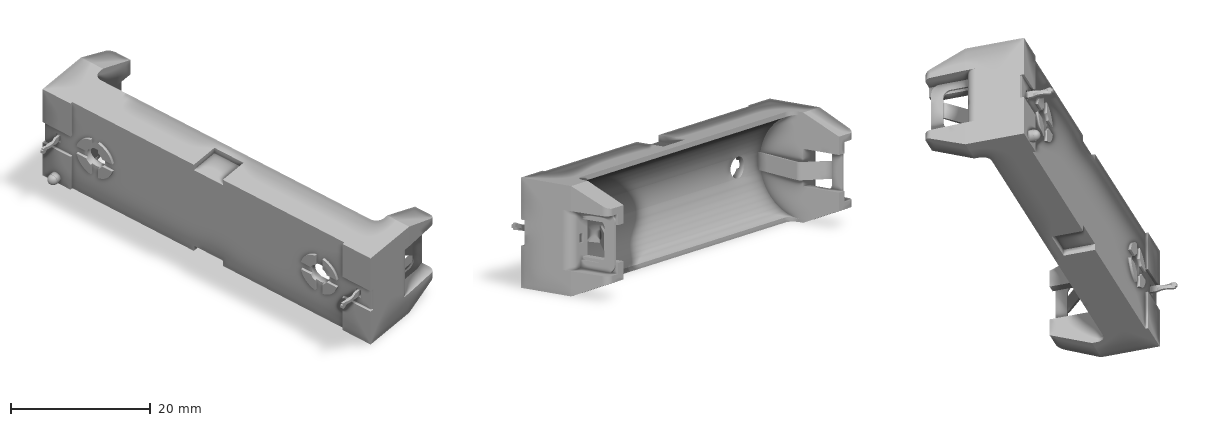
import cadquery as cq
import math

LENGTH = 59.94
WIDTH = 16.26
HEIGHT = 15.3
OVERALL_HEIGHT = 18.8
END_X = LENGTH / 2

RAIL_TOP = 6.73
WALL_THICKNESS = 4.0
WALL_FOOT_RADIUS = 1.4
SHOULDER_Y = 8.9
WALL_TOP_WIDTH = 10.95
END_DRAFT = 0.3
LUG_CORNER_RADIUS = 1.1
TROUGH_RADIUS = 7.7

PAD_HEIGHT = 0.42
PAD_LENGTH = 5.13
NOTCH_WIDTH = 3.85
NOTCH_END_DEPTH = 0.22
NOTCH_END_HEIGHT = 0.62

RECESS_WIDTH = 8.85
RECESS_DEPTH = 2.4
LEDGE_RADIUS = 1.5
POCKET_WIDTH = 5.55
PLATE_THICKNESS = 0.3
PLATE_TOP = 14.88
PLATE_CORNER_RADIUS = 1.3
WINDOW_WIDTH = 6.4
WINDOW_TOP = 13.1
WINDOW_CORNER_RADIUS = 1.2

GRIP_LENGTH = 5.3
GRIP_TOP = 5.18
GRIP_DEPTH = 1.0

HOLE_INSET = 9.47
HOLE_OFFSET = END_X - HOLE_INSET
HOLE_DIAMETER = 3.2
PETAL_DIAMETER = 6.65
PETAL_GAP = 1.33

PEG_INSET = 2.52
PEG_X = -END_X + PEG_INSET
PEG_Z = -7.08
PEG_RADIUS = 0.85
PEG_SHANK = 0.78
PEG_DOME_RADIUS = 0.8

PIN_INSET = 2.6
PIN_LENGTH = OVERALL_HEIGHT - HEIGHT
PIN_WIDTH = 1.0
METAL_THICKNESS = 0.35
PIN_POINT_WIDTH = 0.5
PIN_POINT_LENGTH = 0.25
BULGE_START = 0.5
BULGE_END = 2.8
BULGE_RISE = 0.28
PIN_SLOT_INSET = 2.53
PIN_SLOT_LENGTH = 0.95
PIN_SLOT_WIDTH = 1.4
PIN_ROOT_Y = 7.5
PIN_ANCHOR_Y = 1.2
PIN_ANCHOR_WIDTH = 2.0
SPRING_WIDTH = 2.6
SPRING_TOP = 13.25
SPRING_TOP_THICKNESS = 0.4
SPRING_BEND_INSET = 6.35
SPRING_BEND_Y = 9.8
SPRING_BEND_RADIUS = 0.4
SPRING_FOOT_INSET = 4.55


def box(x_range, y_range, z_range):
    """Axis-aligned block spanning the three given ranges."""
    spans = [high - low for low, high in (x_range, y_range, z_range)]
    corner = cq.Vector(x_range[0], y_range[0], z_range[0])
    return cq.Workplane(obj=cq.Solid.makeBox(*spans, corner))


def centred(width):
    """Range of the given width, centred on zero."""
    return (-width / 2, width / 2)


def extrude_along_z(outline, z_range):
    """Extrude a closed XY outline between two Z levels."""
    return outline.extrude(z_range[1] - z_range[0]).translate((0, 0, z_range[0]))


def at_both_ends(left_part):
    """Pair a feature of the -X end with its half-turn copy at the +X end."""
    return left_part.union(left_part.rotate((0, 0, 0), (0, 1, 0), 180))


def make_shell():
    """U-shaped body with tapered end walls."""
    inner_x = END_X - WALL_THICKNESS
    foot_x = inner_x - WALL_FOOT_RADIUS
    foot_y = RAIL_TOP + WALL_FOOT_RADIUS
    top_x = END_X - END_DRAFT
    foot_arc = WALL_FOOT_RADIUS * (1 - math.sqrt(0.5))
    profile = (
        cq.Workplane("XY")
        .moveTo(-END_X, 0)
        .lineTo(END_X, 0)
        .lineTo(END_X, SHOULDER_Y)
        .lineTo(top_x, HEIGHT)
        .lineTo(inner_x, HEIGHT)
        .lineTo(inner_x, foot_y)
        .threePointArc((inner_x - foot_arc, RAIL_TOP + foot_arc), (foot_x, RAIL_TOP))
        .lineTo(-foot_x, RAIL_TOP)
        .threePointArc((-inner_x + foot_arc, RAIL_TOP + foot_arc), (-inner_x, foot_y))
        .lineTo(-inner_x, HEIGHT)
        .lineTo(-top_x, HEIGHT)
        .lineTo(-END_X, SHOULDER_Y)
        .close()
    )
    body = extrude_along_z(profile, centred(WIDTH))
    for x in (-top_x, top_x):
        outer_corner = cq.selectors.NearestToPointSelector((x, HEIGHT, 0))
        body = body.edges(outer_corner).fillet(LUG_CORNER_RADIUS)

    taper = (
        cq.Workplane("YZ")
        .polyline([
            (0, -WIDTH / 2),
            (SHOULDER_Y, -WIDTH / 2),
            (HEIGHT, -WALL_TOP_WIDTH / 2),
            (HEIGHT, WALL_TOP_WIDTH / 2),
            (SHOULDER_Y, WIDTH / 2),
            (0, WIDTH / 2),
        ])
        .close()
        .extrude(END_X, both=True)
    )
    return body.intersect(taper)


def make_trough():
    """Cylindrical cell bed between the end walls."""
    inner_x = END_X - WALL_THICKNESS
    return (
        cq.Workplane("YZ", origin=(-inner_x, SHOULDER_Y, 0))
        .circle(TROUGH_RADIUS)
        .extrude(2 * inner_x)
    )


def make_petals(x):
    """Four raised ring sectors around a mounting hole."""
    disc = (
        cq.Workplane("XZ", origin=(x, 0, 0))
        .circle(PETAL_DIAMETER / 2)
        .extrude(-PAD_HEIGHT)
    )
    gap = centred(PETAL_GAP)
    span = centred(PETAL_DIAMETER)
    depth = (0, PAD_HEIGHT)
    cross = box(span, depth, gap).union(box(gap, depth, span))
    return disc.cut(cross.translate((x, 0, 0)))


def make_mounting_face_cut():
    """Material removed between the pads, sparing the petals."""
    pad_x = END_X - PAD_LENGTH
    depth = (0, PAD_HEIGHT)
    relief = box((-pad_x, pad_x), depth, centred(WIDTH))
    relief = relief.union(box((-END_X, END_X), depth, centred(NOTCH_WIDTH)))
    for x in (-HOLE_OFFSET, HOLE_OFFSET):
        relief = relief.cut(make_petals(x))
    end_notch = box(
        (-END_X, -END_X + NOTCH_END_DEPTH), (0, NOTCH_END_HEIGHT), centred(NOTCH_WIDTH)
    )
    return relief.union(at_both_ends(end_notch))


def make_mounting_holes():
    """Two through holes in the floor."""
    return (
        cq.Workplane("XZ")
        .pushPoints([(-HOLE_OFFSET, 0), (HOLE_OFFSET, 0)])
        .circle(HOLE_DIAMETER / 2)
        .extrude(-SHOULDER_Y)
    )


def make_grip_cut():
    """Shallow recess in each long side, open toward the mounting face."""
    x_range = centred(GRIP_LENGTH)
    y_range = (0, GRIP_TOP)
    floor_z = WIDTH / 2 - GRIP_DEPTH
    upper = box(x_range, y_range, (floor_z, WIDTH / 2))
    return upper.union(upper.mirror("XY"))


def make_end_wall_cut():
    """Outer recess, inner pocket and window of the -X wall, leaving a thin plate."""
    plate_x = -END_X + RECESS_DEPTH
    inner_x = -END_X + WALL_THICKNESS
    edge_y = SHOULDER_Y - LEDGE_RADIUS
    ledge_arc = LEDGE_RADIUS * (1 - math.sqrt(0.5))
    recess_outline = (
        cq.Workplane("XY")
        .moveTo(-END_X, edge_y)
        .threePointArc(
            (-END_X + ledge_arc, SHOULDER_Y - ledge_arc),
            (-END_X + LEDGE_RADIUS, SHOULDER_Y),
        )
        .lineTo(plate_x, SHOULDER_Y)
        .lineTo(plate_x, HEIGHT)
        .lineTo(-END_X, HEIGHT)
        .close()
    )
    recess = extrude_along_z(recess_outline, centred(RECESS_WIDTH))
    pocket = box(
        (plate_x + PLATE_THICKNESS, inner_x), (SHOULDER_Y, HEIGHT), centred(POCKET_WIDTH)
    )
    plate_x_range = (plate_x, plate_x + PLATE_THICKNESS)
    plate = box(plate_x_range, (SHOULDER_Y, PLATE_TOP), centred(RECESS_WIDTH))
    plate = plate.edges("|X and >Y").fillet(PLATE_CORNER_RADIUS)
    above_plate = box(plate_x_range, (SHOULDER_Y, HEIGHT), centred(RECESS_WIDTH)).cut(plate)
    window = box(plate_x_range, (SHOULDER_Y, WINDOW_TOP), centred(WINDOW_WIDTH))
    window = window.edges("|X and >Y").fillet(WINDOW_CORNER_RADIUS)
    return recess.union(pocket).union(above_plate).union(window)


def make_pin_slot():
    """Slot through the -X wall that receives the contact pin."""
    return box(
        centred(PIN_SLOT_LENGTH), (0, SHOULDER_Y), centred(PIN_SLOT_WIDTH)
    ).translate((-END_X + PIN_SLOT_INSET, 0, 0))


def make_peg():
    """Round locating peg with a slightly narrower hemispherical tip."""
    shank = (
        cq.Workplane("XZ", origin=(PEG_X, PAD_HEIGHT, PEG_Z))
        .circle(PEG_RADIUS)
        .extrude(PAD_HEIGHT + PEG_SHANK)
    )
    tip = cq.Workplane("XY").sphere(PEG_DOME_RADIUS).translate((PEG_X, -PEG_SHANK, PEG_Z))
    return shank.union(tip)


def make_pin_bulge(side):
    """Half of the pin width, arched toward -X (side = -1) or +X (side = 1)."""
    face = METAL_THICKNESS / 2
    middle_y = -(BULGE_START + BULGE_END) / 2
    outline = (
        cq.Workplane("XY")
        .moveTo(-side * face, -BULGE_START)
        .lineTo(side * face, -BULGE_START)
        .threePointArc((side * (face + BULGE_RISE), middle_y), (side * face, -BULGE_END))
        .lineTo(-side * face, -BULGE_END)
        .threePointArc((side * (BULGE_RISE - face), middle_y), (-side * face, -BULGE_START))
        .close()
    )
    z_range = (0, PIN_WIDTH / 2) if side > 0 else (-PIN_WIDTH / 2, 0)
    return extrude_along_z(outline, z_range)


def make_pin():
    """Solder pin of the -X contact, with oppositely arched halves below the pads."""
    thickness = centred(METAL_THICKNESS)
    width = centred(PIN_WIDTH)
    point_y = -PIN_LENGTH + PIN_POINT_LENGTH
    pin = box(thickness, (-BULGE_START, PIN_ROOT_Y), width)
    pin = pin.union(box(thickness, (PIN_ANCHOR_Y, PIN_ROOT_Y), centred(PIN_ANCHOR_WIDTH)))
    pin = pin.union(make_pin_bulge(-1)).union(make_pin_bulge(1))
    pin = pin.union(box(thickness, (point_y, -BULGE_END), width))
    pin = pin.union(box(thickness, (-PIN_LENGTH, point_y), centred(PIN_POINT_WIDTH)))
    return pin.translate((-END_X + PIN_INSET, 0, 0))


def make_spring():
    """Bent contact leaf of the -X end, from the wall plate down to the trough floor."""
    top_x = -END_X + RECESS_DEPTH + PLATE_THICKNESS / 2
    bend_x = -END_X + SPRING_BEND_INSET
    foot_x = -END_X + SPRING_FOOT_INSET
    foot_y = SHOULDER_Y - TROUGH_RADIUS
    outline = (
        cq.Workplane("XY")
        .moveTo(top_x, SPRING_TOP)
        .lineTo(bend_x, SPRING_BEND_Y)
        .lineTo(foot_x, foot_y)
        .lineTo(foot_x - METAL_THICKNESS, foot_y)
        .lineTo(bend_x - METAL_THICKNESS, SPRING_BEND_Y - METAL_THICKNESS / 2)
        .lineTo(top_x, SPRING_TOP - SPRING_TOP_THICKNESS)
        .close()
    )
    leaf = extrude_along_z(outline, centred(SPRING_WIDTH))
    leaf = leaf.edges("|Z and >X").fillet(SPRING_BEND_RADIUS + METAL_THICKNESS)
    inner_bend = cq.selectors.NearestToPointSelector(
        (bend_x - METAL_THICKNESS, SPRING_BEND_Y - METAL_THICKNESS / 2, 0)
    )
    return leaf.edges(inner_bend).fillet(SPRING_BEND_RADIUS)


def make_holder():
    """Moulded body with both contacts fitted."""
    holder = (
        make_shell()
        .cut(make_trough())
        .cut(make_mounting_face_cut())
        .cut(make_mounting_holes())
        .cut(make_grip_cut())
        .cut(at_both_ends(make_end_wall_cut()))
        .cut(at_both_ends(make_pin_slot()))
    )
    return (
        holder.union(make_peg())
        .union(at_both_ends(make_pin()))
        .union(at_both_ends(make_spring()))
    )


result = make_holder()